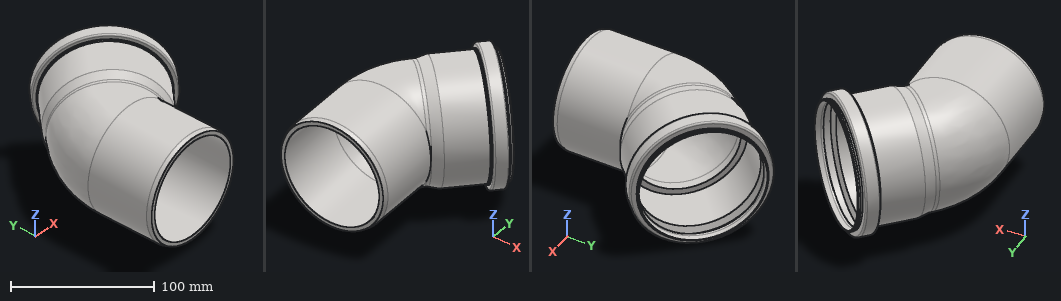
import cadquery as cq
import math


pipe_radius = 45.1
bore_radius = 40.5
spigot_length = 57.6
spigot_end_radius = 44.0
spigot_taper_length = 3.9
bend_radius = 39.5
bend_angle = 45.0

neck_end = 2.8
socket_start = 11.4
socket_radius = 47.4
socket_bore_radius = 45.3
socket_stop = 7.8
socket_length = 60.9

collar_start = 45.6
collar_end = 57.1
collar_radius = 52.3
collar_round = 1.3
foot_start = 44.0
foot_radius = 48.2
foot_chamfer = foot_radius - socket_radius

lip_start = 58.8
lip_neck_radius = 46.9
lip_chamfer = 0.6

groove_start = 45.6
groove_end = 54.9
groove_radius = 50.2
groove_lead = 2.5
groove_chamfer = 0.8
mouth_start = 57.0
mouth_radius = 46.3

pivot_x = bend_radius
pivot_y = spigot_length
bend_end_x = pivot_x - bend_radius * math.cos(math.radians(bend_angle))
bend_end_y = pivot_y + bend_radius * math.sin(math.radians(bend_angle))


def turned(profile):
    """Revolve a closed (radius, distance) outline about the Y axis."""
    return cq.Workplane("XY").polyline(profile).close().revolve(360, (0, 0, 0), (0, 1, 0))


def on_socket_axis(body):
    """Move a body from the Y axis to the end of the bend."""
    tilted = body.rotate((0, 0, 0), (0, 0, 1), -bend_angle)
    return tilted.translate((bend_end_x, bend_end_y, 0))


def bend(radius):
    """Sweep a disc about the pivot; the part of the disc beyond the pivot is left out."""
    half_chord = math.sqrt(max(radius**2 - bend_radius**2, 0))
    section = (
        cq.Workplane("XZ", origin=(0, pivot_y, 0))
        .moveTo(bend_radius, half_chord)
        .threePointArc((-radius, 0), (bend_radius, -half_chord))
        .close()
    )
    return section.revolve(bend_angle, (bend_radius, 0, 0), (bend_radius, -1, 0))


def spigot_outside():
    return turned([
        (0, 0),
        (spigot_end_radius, 0),
        (pipe_radius, spigot_taper_length),
        (pipe_radius, spigot_length),
        (0, spigot_length),
    ])


def socket_outside():
    sleeve = turned([
        (0, 0),
        (pipe_radius, 0),
        (pipe_radius, neck_end),
        (socket_radius, socket_start),
        (socket_radius, foot_start),
        (foot_radius, foot_start + foot_chamfer),
        (foot_radius, collar_start),
        (lip_neck_radius, collar_end),
        (lip_neck_radius, lip_start),
        (socket_radius, lip_start),
        (socket_radius, socket_length - lip_chamfer),
        (socket_radius - lip_chamfer, socket_length),
        (0, socket_length),
    ])
    collar = (
        cq.Workplane("XZ", origin=(0, collar_start, 0))
        .circle(collar_radius)
        .extrude(collar_start - collar_end)
        .edges()
        .fillet(collar_round)
    )
    return on_socket_axis(sleeve.union(collar))


def spigot_bore():
    return cq.Workplane("XZ").circle(bore_radius).extrude(-spigot_length)


def socket_bore():
    return on_socket_axis(turned([
        (0, 0),
        (bore_radius, 0),
        (bore_radius, socket_stop),
        (socket_bore_radius, socket_stop),
        (socket_bore_radius, groove_start),
        (groove_radius, groove_start + groove_lead),
        (groove_radius, groove_end - groove_chamfer),
        (groove_radius - groove_chamfer, groove_end),
        (socket_bore_radius, groove_end),
        (socket_bore_radius, mouth_start),
        (mouth_radius, socket_length),
        (0, socket_length),
    ]))


outside = spigot_outside().union(bend(pipe_radius)).union(socket_outside())
result = outside.cut(spigot_bore()).cut(bend(bore_radius)).cut(socket_bore())